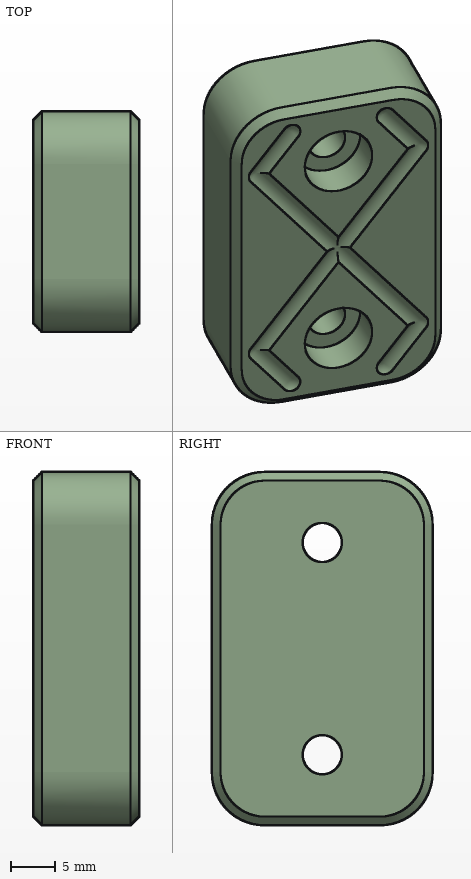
import cadquery as cq
import math

thickness = 12.0
width = 25.0
height = 40.0
corner_radius = 6.0
edge_chamfer = 1.0
outer_face_x = -thickness / 2

hole_offset = 12.0
hole_diameter = 4.4
counterbore_diameter = 8.0
counterbore_depth = 4.4

groove_radius = 1.5
groove_rim_angle = math.radians(45)
groove_axis_x = outer_face_x - groove_radius * math.cos(groove_rim_angle)
bend_y = 9.6
bend_z = hole_offset
groove_slope = bend_z / bend_y
tail_rise = 5.0
tail_end_y = bend_y - tail_rise / groove_slope
tail_end_z = bend_z + tail_rise


def make_block():
    """Rounded rectangular block with both large faces chamfered."""
    return (
        cq.Workplane("YZ")
        .rect(width, height)
        .extrude(thickness / 2, both=True)
        .edges("|X")
        .fillet(corner_radius)
        .faces("<X or >X")
        .edges()
        .chamfer(edge_chamfer)
    )


def make_screw_hole(z):
    """Through hole with a counterbore sunk from the -X face."""
    face = cq.Workplane("YZ", origin=(outer_face_x, 0, z))
    through_hole = face.circle(hole_diameter / 2).extrude(thickness)
    counterbore = face.circle(counterbore_diameter / 2).extrude(counterbore_depth)
    return through_hole.union(counterbore)


def cut_groove(body, start, end):
    """Cut a shallow groove between two (y, z) points of the -X face, with a ball-shaped end."""
    start_point = cq.Vector(groove_axis_x, *start)
    end_point = cq.Vector(groove_axis_x, *end)
    run = end_point - start_point
    bar = cq.Solid.makeCylinder(groove_radius, run.Length, start_point, run)
    ball = cq.Workplane("YZ", origin=end_point.toTuple()).sphere(groove_radius)
    return body.cut(cq.Workplane(bar), clean=False).cut(ball, clean=False)


result = make_block()

for side in (-1, 1):
    result = result.cut(make_screw_hole(side * hole_offset))

for y_side in (-1, 1):
    for z_side in (-1, 1):
        bend = (y_side * bend_y, z_side * bend_z)
        tail_end = (y_side * tail_end_y, z_side * tail_end_z)
        result = cut_groove(result, (0, 0), bend)
        result = cut_groove(result, bend, tail_end)